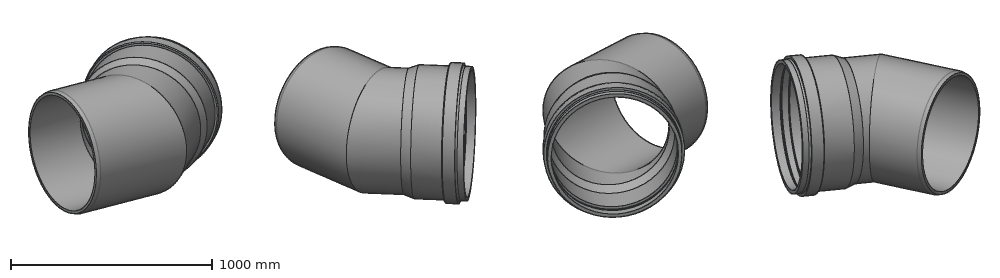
import cadquery as cq
import math


SOCKET_ANGLE = 135.0
BEND_ANGLE = 42.0
SPIGOT_ANGLE = SOCKET_ANGLE + 180.0 - BEND_ANGLE
SOCKET_SIDE = SOCKET_ANGLE - BEND_ANGLE / 2
SPIGOT_SIDE = SOCKET_SIDE + 180.0
SOCKET_LENGTH = 465.0
SPIGOT_LENGTH = 411.0

PIPE_RADIUS = 630.0 / 2
BORE_RADIUS = 591.0 / 2
END_CHAMFER_LENGTH = 21.0
END_CHAMFER_WIDTH = 6.0

SOCKET_RADIUS = 669.0 / 2
SOCKET_BORE_RADIUS = 636.0 / 2
TAPER_START = 263.0
TAPER_END = 315.0
BORE_TAPER_START = 259.0

BEAD_RADIUS = 703.0 / 2
BEAD_START = 42.0
BEAD_END = 108.0
BEAD_CHAMFER_LENGTH = 5.0
BEAD_CHAMFER_WIDTH = 6.0
GROOVE_RADIUS = SOCKET_RADIUS
GROOVE_END = 93.0
GROOVE_CHAMFER = 3.0
LIP_RADIUS = 332.0
LIP_END = 58.0

RING_RADIUS = 671.0 / 2
RING_BORE_RADIUS = 634.0 / 2
RING_CONE_START = 31.0
RING_CONE_WIDTH = 6.0
RING_END = 49.0
RING_BORE_END = 44.0
RING_FLARE_WIDTH = 2.0
RING_END_RADIUS = RING_RADIUS + RING_CONE_WIDTH

CUT_SIZE = 1985.0


def leg_plane(angle):
    """Plane through the mitre centre whose normal points along a leg."""
    direction = (math.cos(math.radians(angle)), math.sin(math.radians(angle)), 0)
    return cq.Plane(origin=(0, 0, 0), xDir=(0, 0, 1), normal=direction)


def revolve_on_leg(profile, angle):
    """Revolve (radius, distance along the axis) points about the axis of a leg."""
    half_section = cq.Workplane("XZ").polyline(profile).close()
    solid = half_section.revolve(360, (0, 0, 0), (0, 1, 0)).val()
    return cq.Workplane(obj=solid.moved(cq.Location(leg_plane(angle))))


def revolve_on_socket(profile):
    """Revolve (radius, depth from the mouth) points about the socket axis."""
    return revolve_on_leg([(r, SOCKET_LENGTH - depth) for r, depth in profile], SOCKET_ANGLE)


def ring_cone_radius(depth):
    """Outer radius of the conical part of the retaining ring."""
    fraction = (depth - RING_CONE_START) / (RING_END - RING_CONE_START)
    return RING_RADIUS + RING_CONE_WIDTH * fraction


def mitre_block(side_angle):
    """Block filling one side of the mitre plane, towards the given direction."""
    block = cq.Workplane("XY").box(CUT_SIZE, CUT_SIZE, CUT_SIZE)
    block = block.translate((CUT_SIZE / 2, 0, 0))
    return block.rotate((0, 0, 0), (0, 0, 1), side_angle)


def make_socket_leg():
    overrun = SOCKET_LENGTH + PIPE_RADIUS
    profile = [
        (BEAD_RADIUS, BEAD_START),
        (BEAD_RADIUS, BEAD_END - BEAD_CHAMFER_LENGTH),
        (BEAD_RADIUS - BEAD_CHAMFER_WIDTH, BEAD_END),
        (SOCKET_RADIUS, BEAD_END),
        (SOCKET_RADIUS, TAPER_START),
        (PIPE_RADIUS, TAPER_END),
        (PIPE_RADIUS, overrun),
        (BORE_RADIUS, overrun),
        (BORE_RADIUS, TAPER_END),
        (SOCKET_BORE_RADIUS, BORE_TAPER_START),
        (SOCKET_BORE_RADIUS, GROOVE_END),
        (GROOVE_RADIUS - GROOVE_CHAMFER, GROOVE_END),
        (GROOVE_RADIUS, GROOVE_END - GROOVE_CHAMFER),
        (GROOVE_RADIUS, LIP_END),
        (LIP_RADIUS, LIP_END),
        (LIP_RADIUS, RING_END),
        (RING_END_RADIUS, RING_END),
        (ring_cone_radius(BEAD_START), BEAD_START),
    ]
    return revolve_on_socket(profile).intersect(mitre_block(SOCKET_SIDE))


def make_spigot_leg():
    profile = [
        (BORE_RADIUS, -PIPE_RADIUS),
        (PIPE_RADIUS, -PIPE_RADIUS),
        (PIPE_RADIUS, SPIGOT_LENGTH - END_CHAMFER_LENGTH),
        (PIPE_RADIUS - END_CHAMFER_WIDTH, SPIGOT_LENGTH),
        (BORE_RADIUS, SPIGOT_LENGTH),
    ]
    return revolve_on_leg(profile, SPIGOT_ANGLE).intersect(mitre_block(SPIGOT_SIDE))


def make_bend():
    return make_socket_leg().union(make_spigot_leg())


def make_retaining_ring():
    profile = [
        (RING_BORE_RADIUS, 0),
        (RING_RADIUS, 0),
        (RING_RADIUS, RING_CONE_START),
        (RING_END_RADIUS, RING_END),
        (RING_BORE_RADIUS + RING_FLARE_WIDTH, RING_END),
        (RING_BORE_RADIUS, RING_BORE_END),
    ]
    return revolve_on_socket(profile)


bend = make_bend()
retaining_ring = make_retaining_ring()

result = cq.Compound.makeCompound([bend.val(), retaining_ring.val()])